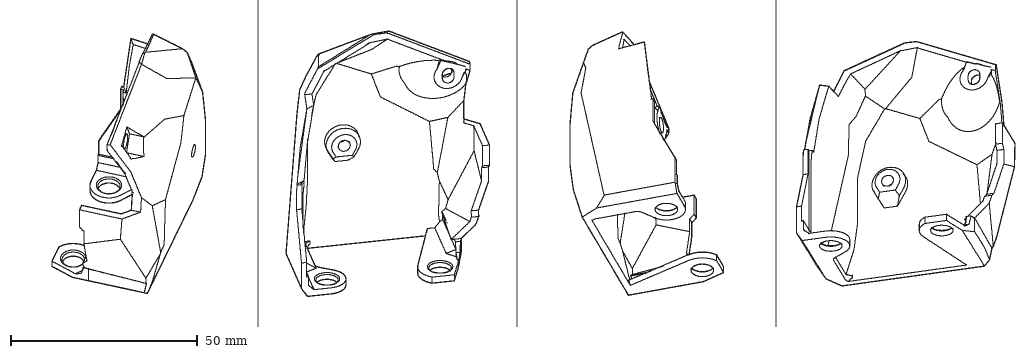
import cadquery as cq
import math

LENGTH_X = 32.0
LENGTH_Y = 54.1
LENGTH_Z = 66.94
WALL = 1.93
FLOOR = 1.9
REACH = 200.0
CLEAR = 1.0
CENTRE = cq.Vector(16, 26, 25)

HOLE_X = 5.1
HOLE_DIAMETER = 6.0
HOLE_MOUTH_DIAMETER = 6.8
BACK_HOLE_Y = 46.0
FRONT_HOLE_Y = 15.0
BACK_LUG_RADIUS = HOLE_X
FRONT_LUG_RADIUS = 6.05
BACK_STRIP_Y = 47.6
BACK_LUG_FLANK = -34.0
FRONT_LUG_FLANK = 70.5
LUG_BLEND_RADIUS = 2.0
STRIP_END_X = 26.0
STRIP_CORNER_RADIUS = 1.5

FOOT_Y = 7.75
FOOT_TOP = 6.1
BACK_CHAMFER_Y = 1.6
BACK_CHAMFER_Z = 2.6
FOOT_CHAMFER = 1.95
FOOT_CUT_Y = 12.2
FRONT_EDGE_X = 11.7

FRONT_WALL_TOP = 33.9
FRONT_CUT_Y = 3.9
FRONT_CUT_LOW_Y = 4.15
BACK_WALL_TOP = 52.1
FOOT_END = [(7.8, FLOOR), (9.4, 3.2), (10.2, FOOT_TOP)]
NOTCH_DEPTH = 1.25
NOTCH_BOTTOM = 12.3
NOTCH_TOP = 27.7

BACK_EDGE_BEND = 31.0
BACK_EDGE = [(0, 10.5), (6.2, 23.5), (6.2, BACK_EDGE_BEND), (6.9, 32.7), (9.8, BACK_WALL_TOP)]
BACK_EDGE_FACET = ((9.8, 50.5, BACK_WALL_TOP), (11.0, 48.6, BACK_WALL_TOP), (6.9, 53.7, 32.7))

RECESS_X = 7.1
RECESS_DEPTH = 0.5
RECESS_BOTTOM = 6.0

BACK_INNER_Y = LENGTH_Y - WALL
FOOT_INNER_Y = FOOT_Y + WALL
BACK_RAMP_TOP = 6.1
BACK_RAMP_END = [(9.05, BACK_INNER_Y), (11.2, 47.9)]
FRONT_RAMP_SIZE = 2.2
FRONT_RAMP_START_X = 9.6
FRONT_RAMP_END = [
    (FRONT_RAMP_START_X, FOOT_INNER_Y),
    (FRONT_RAMP_START_X + FRONT_RAMP_SIZE, FOOT_INNER_Y + FRONT_RAMP_SIZE),
]
CORNER_CHAMFER = 1.5

CONE_Y = 9.9
CONE_Z = 52.75
CONE_FACE_X = 18.3
CONE_FACE_RADIUS = 3.9
CONE_SPREAD = 0.9
PAD_CORNERS = [(13.7, 53.5), (11.9, 57.7), (4.6, 54.8), (6.6, 50.8)]
SLOT_LENGTH = 4.4
SLOT_WIDTH = 3.2
POCKET_FLOOR_X = 21.5
POCKET_CORNERS = [(13.3, 52.6), (10.7, 48.0), (6.4, 50.2), (6.6, 55.0), (10.9, 57.2)]

BOSS_Y = 36.55
BOSS_Z = 29.65
BOSS_RADIUS = 4.7
BOSS_CHAMFER = 1.25
BOSS_HEIGHT = 3.2
BOSS_HOLE_DIAMETER = 3.3
BOSS_TAIL_LENGTH = 6.35
BOSS_TAIL_HALF_WIDTH = 1.85
BOSS_TAIL_ANGLE = -30.0

PEAK_BACK = (20.2, 30.5, LENGTH_Z)
PEAK_FRONT = (20.9, 25.6, LENGTH_Z)
EAVE_BACK = (17.5, 45.7, 60.0)
EAVE_LOW = (17.5, 49.5, 52.4)
EAVE_FRONT = (19.1, FRONT_CUT_Y, 56.0)
ROOF_FRONT = (26.9, 29.1, 60.5)
ROOF_BACK = (27.2, 43.1, 59.0)
SHOULDER_TOP = (LENGTH_X, 38.5, 54.2)
SHOULDER_BACK = (LENGTH_X, 44.5, 44.0)
SHOULDER_FRONT = (LENGTH_X, 28.3, 49.8)
SHOULDER_LOW = (LENGTH_X, 25.6, 41.9)
ROOF_VALLEY = (28.6, 21.0, 53.2)
BROW_FRONT = (24.4, FRONT_CUT_Y, 49.1)
CHEEK_FRONT = (LENGTH_X, 12.2, 32.8)
CHEEK_TOP = (30.1, 6.8, 34.1)
CHEEK_LOW = (31.5, 9.4, 15.8)
BACK_CORNER = (LENGTH_X, 47.0, 32.0)
BACK_CORNER_LOW = (LENGTH_X, 47.0, 19.5)
BACK_RIDGE = (26.9, 48.8, 48.3)
BACK_RIM_TOP = (9.85, 50.5, BACK_WALL_TOP)
BACK_RIM_MID = (8.5, 52.7, 41.0)
BACK_CREASE_TOP = (7.3, LENGTH_Y, 27.0)
BACK_CREASE_LOW = (19.9, LENGTH_Y, 2.0)
REAR_ROOF = (28.5, 46.6, 51.0)
BELLY = (LENGTH_X, 24.0, 14.7)
BELLY_BACK = (30.86, 47.0, 10.8)
BELLY_FRONT = (29.1, 9.8, 5.0)
BELLY_BASE = (27.7, 24.0, 0.0)
BELLY_BASE_BACK = (27.7, 47.0, 0.0)
FRONT_TOP_CORNER = (23.7, 0.0, FRONT_WALL_TOP)
FRONT_CREASE_RIGHT = (23.25, 0.0, 26.5)
FRONT_CREASE_LEFT = (12.9, 0.0, 22.0)
FRONT_LOW_LEFT = (FRONT_EDGE_X, 3.7, 10.0)
FRONT_LOW_RIGHT = (27.8, 6.3, 6.8)
FOOT_CORNER = (27.1, 8.3, 0.4)
FOOT_FACET = ((20.9, FOOT_Y, FOOT_CHAMFER), (27.6, FOOT_Y, 4.9), FOOT_CORNER)

RIM_FRONT = (18.2, FRONT_CUT_Y, 55.6)
RIM_PEAK_FRONT = (20.0, 25.7, 66.6)
RIM_PEAK_BACK = (19.8, 30.5, 66.65)
RIM_BACK = (17.4, 45.7, 59.75)
BEVEL_PEAK_BACK = (20.6, 30.5, LENGTH_Z)
BEVEL_FACETS = [
    (RIM_FRONT, RIM_PEAK_FRONT, PEAK_FRONT),
    (RIM_BACK, RIM_PEAK_BACK, BEVEL_PEAK_BACK),
]

UPPER_FACETS = [
    (PEAK_BACK, EAVE_BACK, ROOF_BACK),
    (PEAK_FRONT, ROOF_FRONT, SHOULDER_TOP),
    (PEAK_FRONT, EAVE_FRONT, ROOF_FRONT),
    (EAVE_BACK, EAVE_LOW, BACK_RIDGE),
    (SHOULDER_TOP, SHOULDER_BACK, REAR_ROOF),
    (ROOF_FRONT, SHOULDER_TOP, ROOF_VALLEY),
    (BACK_CORNER, SHOULDER_BACK, BACK_RIDGE),
    (BACK_RIM_TOP, BACK_RIM_MID, BACK_RIDGE),
    (BACK_CREASE_TOP, BACK_CREASE_LOW, BACK_RIDGE),
]
SIDE_FACETS = [
    (BACK_CREASE_LOW, BACK_CORNER, BACK_CORNER_LOW),
    (BACK_CORNER_LOW, BELLY, BELLY_BACK),
    (BELLY, BELLY_BASE, BELLY_BASE_BACK),
    (BELLY, CHEEK_LOW, BELLY_FRONT),
    (CHEEK_LOW, FRONT_LOW_RIGHT, FOOT_CORNER),
    (CHEEK_TOP, CHEEK_FRONT, CHEEK_LOW),
    (FRONT_TOP_CORNER, FRONT_CREASE_RIGHT, CHEEK_TOP),
]
BAND_FACET = (ROOF_VALLEY, SHOULDER_FRONT, SHOULDER_LOW)
BROW_FACET = (SHOULDER_LOW, CHEEK_FRONT, BROW_FRONT)
FRONT_FACETS = [
    (FRONT_CREASE_LEFT, FRONT_CREASE_RIGHT, FRONT_LOW_LEFT),
    (FRONT_LOW_LEFT, FRONT_LOW_RIGHT, (FRONT_EDGE_X, FOOT_Y, FOOT_TOP)),
]


def block(x, y, z):
    """Box given by its (low, high) ranges."""
    corner = (x[0], y[0], z[0])
    return cq.Workplane("XY").box(x[1] - x[0], y[1] - y[0], z[1] - z[0], centered=False).translate(corner)


def trim(body, facet, inset=0.0, inside=CENTRE):
    """Cut away what lies beyond the facet's plane, on the side away from `inside`."""
    a, b, c = [cq.Vector(*point) for point in facet]
    normal = (b - a).cross(c - a).normalized()
    if normal.dot(inside - a) > 0:
        normal = normal * -1
    plane = cq.Plane(origin=(a - normal * inset).toTuple(), normal=normal.toTuple())
    return body.cut(cq.Workplane(plane).rect(REACH, REACH).extrude(REACH))


def trim_all(body, facets, inset):
    for facet in facets:
        body = trim(body, facet, inset)
    return body


def skin(inset, low_z, low_x):
    """Solid inside the skin, moved inwards by `inset`, with the foot below it."""
    sides = block((low_x, LENGTH_X - inset), (inset, LENGTH_Y - inset), (low_z, LENGTH_Z))
    sides = trim_all(sides, SIDE_FACETS, inset)
    sides = trim_all(sides, UPPER_FACETS, inset)
    sides = trim(sides, BAND_FACET, inset).union(trim(sides, BROW_FACET, inset))
    body = trim_all(sides, FRONT_FACETS, inset)
    foot_space = block((low_x, LENGTH_X), (FOOT_Y + inset, LENGTH_Y), (low_z, FOOT_TOP))
    foot = sides.intersect(foot_space)
    foot = trim(foot, FOOT_FACET, inset)
    return body.union(foot)


def upright(start, end):
    """Three points of the upright plane through two points given in X, Y."""
    return ((*start, 0), (*start, 1), (*end, 0))


def prism_x(points, start, end):
    return cq.Workplane("YZ").workplane(offset=start).polyline(points).close().extrude(end - start)


def prism_y(points, start, end):
    return cq.Workplane("XZ").workplane(offset=-end).polyline(points).close().extrude(end - start)


def polar(centre, radius, angle):
    angle = math.radians(angle)
    return (centre[0] + radius * math.cos(angle), centre[1] + radius * math.sin(angle))


def back_floor():
    """Strip along the back wall with a rounded lug around the back hole."""
    hole = (HOLE_X, BACK_HOLE_Y)
    tangent = polar(hole, BACK_LUG_RADIUS, BACK_LUG_FLANK)
    rise = BACK_STRIP_Y - tangent[1]
    flank_end = (tangent[0] - rise * math.tan(math.radians(BACK_LUG_FLANK)), BACK_STRIP_Y)
    middle = polar(hole, BACK_LUG_RADIUS, (BACK_LUG_FLANK - 180) / 2)
    plan = (
        cq.Workplane("XY").moveTo(0, LENGTH_Y).lineTo(0, BACK_HOLE_Y)
        .threePointArc(middle, tangent).lineTo(*flank_end)
        .lineTo(STRIP_END_X - STRIP_CORNER_RADIUS, BACK_STRIP_Y)
        .radiusArc((STRIP_END_X, BACK_STRIP_Y - STRIP_CORNER_RADIUS), STRIP_CORNER_RADIUS)
        .lineTo(LENGTH_X, BACK_STRIP_Y - STRIP_CORNER_RADIUS).lineTo(LENGTH_X, LENGTH_Y).close()
        .extrude(FLOOR)
    )
    blend_edge = cq.selectors.NearestToPointSelector((*flank_end, FLOOR / 2))
    return plan.edges(blend_edge).fillet(LUG_BLEND_RADIUS)


def front_floor():
    """Tapering lug around the front hole, running along the foot."""
    hole = (HOLE_X, FRONT_HOLE_Y)
    tangent = polar(hole, FRONT_LUG_RADIUS, FRONT_LUG_FLANK)
    arc_start = (0, FRONT_HOLE_Y + math.sqrt(FRONT_LUG_RADIUS**2 - HOLE_X**2))
    run = LENGTH_X - tangent[0]
    flank_end = (LENGTH_X, tangent[1] - run / math.tan(math.radians(FRONT_LUG_FLANK)))
    return (
        cq.Workplane("XY").moveTo(0, FOOT_Y).lineTo(*arc_start)
        .threePointArc(polar(hole, FRONT_LUG_RADIUS, 90), tangent)
        .lineTo(*flank_end).lineTo(LENGTH_X, FOOT_Y).close()
        .extrude(FLOOR)
    )


def ramps():
    """Sloping fillings between the floor and the walls, with slanted ends."""
    middle = cq.Vector(LENGTH_X, LENGTH_Y / 2, 0)
    back = prism_x(
        [(LENGTH_Y, FLOOR), (BACK_STRIP_Y, FLOOR), (BACK_INNER_Y, BACK_RAMP_TOP),
         (LENGTH_Y, BACK_RAMP_TOP)],
        0, LENGTH_X,
    )
    back = trim(back, upright(*BACK_RAMP_END), inside=middle)
    front = prism_x(
        [(FOOT_INNER_Y, FLOOR), (FOOT_INNER_Y + FRONT_RAMP_SIZE, FLOOR),
         (FOOT_INNER_Y, FLOOR + FRONT_RAMP_SIZE)],
        0, LENGTH_X,
    )
    front = trim(front, upright(*FRONT_RAMP_END), inside=middle)
    corner = prism_x(
        [(BACK_INNER_Y, FLOOR), (BACK_INNER_Y - CORNER_CHAMFER, FLOOR),
         (BACK_INNER_Y, FLOOR + CORNER_CHAMFER)],
        0, LENGTH_X,
    )
    return back.union(front).union(corner)


def upper_opening():
    """Space in front of the rim, above the back wall."""
    plan = [RIM_FRONT[:2], RIM_PEAK_FRONT[:2], RIM_PEAK_BACK[:2], RIM_BACK[:2]]
    plan += [(RIM_BACK[0], LENGTH_Y), (-CLEAR, LENGTH_Y), (-CLEAR, -CLEAR), (RIM_FRONT[0], -CLEAR)]
    space = cq.Workplane("XY").polyline(plan).close().extrude(LENGTH_Z - BACK_WALL_TOP + CLEAR)
    return space.translate((0, 0, BACK_WALL_TOP))


def back_opening():
    """Space in front of the slanted free edge of the back wall."""
    middle = LENGTH_Y / 2
    outline = [(-CLEAR, BACK_EDGE[0][1]), *BACK_EDGE, (-CLEAR, BACK_WALL_TOP)]
    space = prism_y(outline, middle, LENGTH_Y + CLEAR)
    slanted = block((-CLEAR, LENGTH_X), (middle, LENGTH_Y + CLEAR), (BACK_EDGE_BEND, BACK_WALL_TOP))
    return space.union(trim(slanted, BACK_EDGE_FACET, inside=cq.Vector(-REACH, LENGTH_Y, BACK_WALL_TOP)))


def front_opening():
    """Space left of the front wall with its notch, and above the front wall."""
    notch_x = FRONT_EDGE_X + NOTCH_DEPTH
    edge = [
        (-CLEAR, FLOOR), *FOOT_END, (FRONT_EDGE_X, FOOT_TOP), (FRONT_EDGE_X, NOTCH_BOTTOM),
        (notch_x, NOTCH_BOTTOM + NOTCH_DEPTH), (notch_x, NOTCH_TOP - NOTCH_DEPTH),
        (FRONT_EDGE_X, NOTCH_TOP), (FRONT_EDGE_X, LENGTH_Z), (-CLEAR, LENGTH_Z),
    ]
    left = prism_y(edge, -CLEAR, FOOT_CUT_Y)
    above = prism_x(
        [(-CLEAR, FRONT_WALL_TOP), (FRONT_CUT_LOW_Y, FRONT_WALL_TOP), EAVE_FRONT[1:],
         (FRONT_CUT_Y, LENGTH_Z), (-CLEAR, LENGTH_Z)],
        -CLEAR, LENGTH_X + CLEAR,
    )
    return left.union(above)


def cone_boss():
    """Cone growing towards the +X wall, with a pad that joins its face to the rim."""
    run = LENGTH_X - CONE_FACE_X
    cone = cq.Solid.makeCone(
        CONE_FACE_RADIUS, CONE_FACE_RADIUS + CONE_SPREAD * run, run,
        cq.Vector(CONE_FACE_X, CONE_Y, CONE_Z), cq.Vector(1, 0, 0),
    )
    return cq.Workplane(cone).union(prism_x(PAD_CORNERS, CONE_FACE_X, LENGTH_X))


def cone_boss_cuts():
    plane = cq.Workplane("YZ", origin=(0, CONE_Y, CONE_Z))
    slot = plane.slot2D(SLOT_LENGTH, SLOT_WIDTH, 90).extrude(LENGTH_X)
    pocket = prism_x(POCKET_CORNERS, POCKET_FLOOR_X, LENGTH_X)
    return slot.union(pocket)


def lower_boss():
    """Round boss with a tail below it that runs out into the wall at 45 degrees."""
    base_x = LENGTH_X - WALL
    side_y, side_z = polar((0, 0), BOSS_RADIUS, BOSS_TAIL_ANGLE)
    boss = (
        cq.Workplane("YZ", origin=(base_x - BOSS_HEIGHT, BOSS_Y, BOSS_Z))
        .moveTo(side_y, side_z).threePointArc((0, BOSS_RADIUS), (-side_y, side_z))
        .lineTo(-BOSS_TAIL_HALF_WIDTH, -BOSS_TAIL_LENGTH).lineTo(BOSS_TAIL_HALF_WIDTH, -BOSS_TAIL_LENGTH)
        .close().extrude(BOSS_HEIGHT).faces("<X").chamfer(BOSS_CHAMFER)
    )
    tail_z = BOSS_Z - BOSS_TAIL_LENGTH
    slope = [(base_x, BOSS_Y, tail_z), (base_x, BOSS_Y + 1, tail_z), (base_x - 1, BOSS_Y, tail_z + 1)]
    return trim(boss, slope, inside=cq.Vector(base_x, BOSS_Y, BOSS_Z))


def lug_hole(y):
    depth = (HOLE_MOUTH_DIAMETER - HOLE_DIAMETER) / 2
    hole = cq.Workplane("XY", origin=(HOLE_X, y, 0)).circle(HOLE_DIAMETER / 2).extrude(FLOOR)
    mouth = cq.Solid.makeCone(
        HOLE_DIAMETER / 2, HOLE_MOUTH_DIAMETER / 2, depth,
        cq.Vector(HOLE_X, y, FLOOR - depth), cq.Vector(0, 0, 1),
    )
    return hole.union(cq.Workplane(mouth))


back_chamfer = (
    (0, LENGTH_Y, BACK_CHAMFER_Z), (LENGTH_X, LENGTH_Y, BACK_CHAMFER_Z), (0, LENGTH_Y - BACK_CHAMFER_Y, 0),
)
foot_chamfer = (
    (0, FOOT_Y, FOOT_CHAMFER), (LENGTH_X, FOOT_Y, FOOT_CHAMFER), (0, FOOT_Y + FOOT_CHAMFER, 0),
)
foot_end = [(0, 0), (0, FOOT_CUT_Y), (FRONT_EDGE_X, FOOT_Y), (FRONT_EDGE_X, 0)]
outer = trim_all(skin(0.0, 0.0, 0.0), [*BEVEL_FACETS, back_chamfer, foot_chamfer], 0.0)
outer = outer.cut(cq.Workplane("XY").polyline(foot_end).close().extrude(FOOT_TOP))
cavity = skin(WALL, -CLEAR, -CLEAR)

fillings = back_floor().union(front_floor()).union(ramps()).union(cone_boss())
fillings = fillings.union(lower_boss())
recess_y = (BACK_INNER_Y - CLEAR, BACK_INNER_Y + RECESS_DEPTH)
recess = block((-CLEAR, RECESS_X), recess_y, (RECESS_BOTTOM, LENGTH_Z))

result = outer.cut(cavity.cut(fillings))
result = result.cut(upper_opening().cut(cone_boss()))
result = result.cut(back_opening()).cut(front_opening()).cut(recess)
result = result.cut(cone_boss_cuts())
boss_plane = cq.Workplane("YZ", origin=(CONE_FACE_X, BOSS_Y, BOSS_Z))
result = result.cut(boss_plane.circle(BOSS_HOLE_DIAMETER / 2).extrude(LENGTH_X))
for hole_y in (BACK_HOLE_Y, FRONT_HOLE_Y):
    result = result.cut(lug_hole(hole_y))